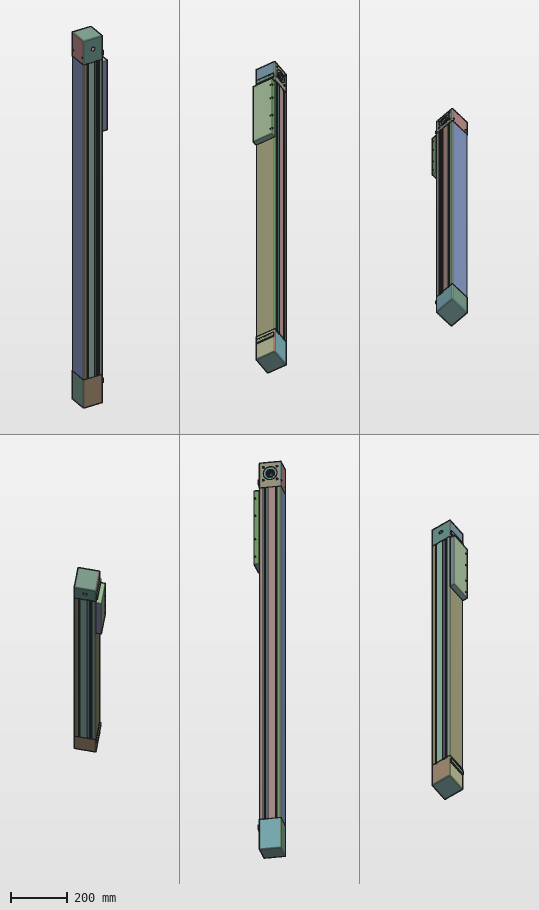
import cadquery as cq

length = 1517.0
width = 80.0
half = width / 2
edge_radius = 3.0

bottom_head_height = 118.0
top_head_height = 99.0
beam_top = length - top_head_height

beam_setback = 0.5
beam_half = half - beam_setback

wide_groove = (8.0, 26.0, 2.3)
deep_slot = (17.0, 21.0, 8.0)
narrow_slot = (-25.0, -20.0, 8.0)

drive_z = 1473.0
bore_diameter = 15.0
shoulder_diameter = 23.0
shoulder_depth = 15.0
seat_diameter = 30.0
seat_depth = 8.0
flange_diameter = 50.0
flange_depth = 2.0
flange_screw_pitch = 50.0
flange_screw_diameter = 6.0

head_screw_diameter = 5.2
head_screw_pitch = 62.0
head_screw_z = 1444.0
screw_hole_depth = 9.0

carriage_height = 20.0
carriage_length = 288.0
carriage_middle = 1265.0
carriage_radius = 2.0
carriage_hole_diameter = 5.0
carriage_hole_inset = 5.0
carriage_hole_offsets = (-114.0, -45.0, 45.0, 114.0)

clamp_width = 73.0
clamp_length = 18.0
clamp_height = 5.0
clamp_middles = (90.0, 1443.0)


def block(x_range, y_range, z_range):
    """Box that spans the given ranges."""
    lows, highs = zip(x_range, y_range, z_range)
    sizes = [high - low for low, high in zip(lows, highs)]
    return cq.Workplane("XY").box(*sizes, centered=False).translate(lows)


def drill_from_left(part, y, z, diameter, depth):
    """Hole that runs along +X from the -X face."""
    tool = cq.Workplane("YZ", origin=(-half, y, z)).circle(diameter / 2).extrude(depth)
    return part.cut(tool)


def make_head(z_range, end_face):
    """End head with all edges rounded except those that meet the beam."""
    head = block((-half, half), (-half, half), z_range)
    return head.edges("|Z").fillet(edge_radius).faces(end_face).edges().fillet(edge_radius)


def make_beam():
    z_range = (bottom_head_height, beam_top)
    beam = block((-beam_half, beam_half), (-beam_half, beam_half), z_range)
    beam = beam.edges("|Z").fillet(edge_radius)
    for bottom, top, depth in (wide_groove, deep_slot, narrow_slot):
        inner = beam_half - depth
        for x_range in ((-half, -inner), (inner, half)):
            beam = beam.cut(block(x_range, (bottom, top), z_range))
    return beam


def make_carriage():
    z_range = (carriage_middle - carriage_length / 2, carriage_middle + carriage_length / 2)
    outer_y = half + carriage_height
    carriage = block((-half, half), (beam_half, outer_y), z_range)
    carriage = carriage.edges("not <Y").fillet(carriage_radius)
    for offset in carriage_hole_offsets:
        carriage = drill_from_left(
            carriage,
            outer_y - carriage_hole_inset,
            carriage_middle + offset,
            carriage_hole_diameter,
            screw_hole_depth,
        )
    return carriage


def make_clamp(middle):
    return block(
        (-clamp_width / 2, clamp_width / 2),
        (half, half + clamp_height),
        (middle - clamp_length / 2, middle + clamp_length / 2),
    )


def add_drive_bore(part):
    part = drill_from_left(part, 0, drive_z, flange_diameter, flange_depth)
    part = drill_from_left(part, 0, drive_z, seat_diameter, seat_depth)
    part = drill_from_left(part, 0, drive_z, shoulder_diameter, shoulder_depth)
    part = drill_from_left(part, 0, drive_z, bore_diameter, width)
    screw_offset = flange_screw_pitch / 2
    for y in (-screw_offset, screw_offset):
        for z in (drive_z - screw_offset, drive_z + screw_offset):
            part = drill_from_left(part, y, z, flange_screw_diameter, screw_hole_depth)
    return part


def add_head_screws(part):
    for x in (-head_screw_pitch / 2, head_screw_pitch / 2):
        hole = cq.Workplane("XZ", origin=(x, -half, head_screw_z))
        part = part.cut(hole.circle(head_screw_diameter / 2).extrude(-screw_hole_depth))
    return part


top_head = make_head((beam_top, length), ">Z")
top_head = add_head_screws(add_drive_bore(top_head))
bottom_head = make_head((0, bottom_head_height), "<Z")

result = make_beam().union(bottom_head).union(top_head).union(make_carriage())
for clamp_middle in clamp_middles:
    result = result.union(make_clamp(clamp_middle))